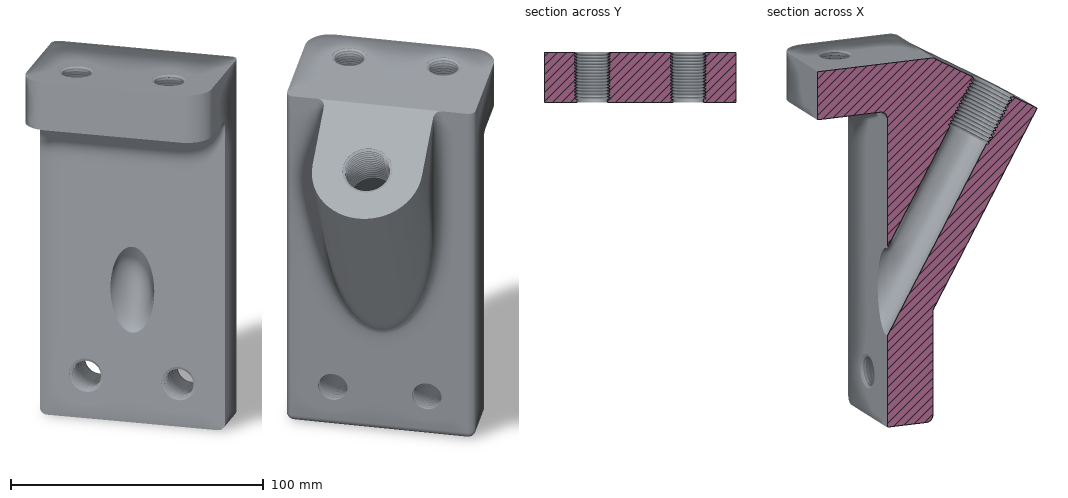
import cadquery as cq
import math

width = 76.0
height = 150.0
plate_thickness = 20.0
shelf_thickness = 20.0
shelf_reach = 50.1
shelf_corner_radius = 10.0
edge_radius = 3.0

boss_radius = 22.0
boss_tilt = 30.0
boss_overhang = 45.0

mount_major_diameter = 14.0
mount_minor_diameter = 11.8
mount_pitch = 1.2
mount_spacing = 38.0
mount_plate_height = 18.0
mount_shelf_inset = 16.0
boss_major_diameter = 20.0
boss_minor_diameter = 18.0
boss_pitch = 1.5
boss_thread_depth = 23.0
root_flat_share = 1 / 8
crest_flat_share = 1 / 4

tilt = math.radians(boss_tilt)
face_length = boss_overhang / math.cos(tilt)
boss_axis_offset = face_length - boss_radius
boss_face_center = (
    0,
    boss_axis_offset * math.cos(tilt),
    height - boss_axis_offset * math.sin(tilt),
)
boss_axis = (0, math.sin(tilt), math.cos(tilt))
boss_plane = cq.Plane(origin=boss_face_center, xDir=(1, 0, 0), normal=boss_axis)
through_length = height
selection_margin = 0.2


def make_bracket():
    """Plate and shelf with rounded corners and a fillet in the inner corner."""
    plate = cq.Workplane("XY").box(width, plate_thickness, height, centered=(True, False, False))
    plate = plate.translate((0, -plate_thickness, 0))
    shelf = cq.Workplane("XY").box(width, shelf_reach, shelf_thickness, centered=(True, False, False))
    shelf = shelf.translate((0, -shelf_reach, height - shelf_thickness))
    shelf = shelf.edges("|Z and <Y").fillet(shelf_corner_radius)
    bracket = plate.union(shelf)
    inner_corner = cq.selectors.NearestToPointSelector((0, -plate_thickness, height - shelf_thickness))
    bracket = bracket.edges("|X").edges(inner_corner).fillet(edge_radius)
    return bracket.edges("|Y and <Z").fillet(edge_radius)


def round_back_edges(bracket):
    """Round the side and bottom edges of the back face; the top edge stays sharp."""
    return bracket.faces(">Y").edges("not(|X and >Z)").fillet(edge_radius)


def add_boss(bracket):
    """Round-ended boss square to the sloping face, blended into the back face."""
    boss = cq.Workplane(boss_plane).circle(boss_radius).extrude(-through_length)
    web = (
        cq.Workplane(boss_plane)
        .center(0, -boss_axis_offset / 2)
        .rect(2 * boss_radius, boss_axis_offset)
        .extrude(-through_length)
    )
    behind_plate = cq.Workplane("XY").box(width, height, height, centered=(True, False, False))
    behind_plate = behind_plate.translate((0, -plate_thickness / 2, 0))
    boss = boss.union(web).intersect(behind_plate)
    joined = bracket.union(boss)
    half_box = boss_radius + selection_margin
    blend = cq.selectors.BoxSelector(
        (-half_box, -selection_margin, edge_radius),
        (half_box, selection_margin, height - selection_margin),
    )
    return joined.edges(blend).fillet(edge_radius)


def thread_cutter(plane, major_diameter, minor_diameter, pitch, depth):
    """Bore with a flat-bottomed V groove at every pitch, running down from the plane origin."""
    major = major_diameter / 2
    minor = minor_diameter / 2
    root_flat = root_flat_share * pitch
    crest_flat = crest_flat_share * pitch
    flank = (pitch - root_flat - crest_flat) / 2
    profile = [(0, 0)]
    for turn in range(math.floor(depth / pitch)):
        groove_top = -turn * pitch
        crest_top = groove_top - root_flat - flank
        profile += [
            (major, groove_top),
            (major, groove_top - root_flat),
            (minor, crest_top),
            (minor, crest_top - crest_flat),
        ]
    profile += [(minor, -depth), (0, -depth)]
    return cq.Workplane(plane).polyline(profile).close().revolve(360, (0, 0, 0), (0, 1, 0))


def axial_plane(origin, axis):
    """Plane holding the hole axis as its local Y direction."""
    normal = cq.Vector(1, 0, 0).cross(cq.Vector(*axis))
    return cq.Plane(origin=origin, xDir=(1, 0, 0), normal=normal.toTuple())


def cut_mount_holes(body):
    """Threaded pairs through the plate and through the shelf."""
    for x in (-mount_spacing / 2, mount_spacing / 2):
        plate_mouth = ((x, -plate_thickness, mount_plate_height), (0, -1, 0), plate_thickness)
        shelf_mouth = ((x, mount_shelf_inset - shelf_reach, height), (0, 0, 1), shelf_thickness)
        for origin, axis, depth in (plate_mouth, shelf_mouth):
            plane = axial_plane(origin, axis)
            cutter = thread_cutter(plane, mount_major_diameter, mount_minor_diameter, mount_pitch, depth)
            body = body.cut(cutter)
    return body


def cut_boss_hole(body):
    """Inclined bore that is threaded at the boss end and leaves through the front of the plate."""
    bore = cq.Workplane(boss_plane).circle(boss_minor_diameter / 2).extrude(-through_length)
    plane = axial_plane(boss_face_center, boss_axis)
    thread = thread_cutter(plane, boss_major_diameter, boss_minor_diameter, boss_pitch, boss_thread_depth)
    return body.cut(bore).cut(thread)


result = cut_boss_hole(cut_mount_holes(add_boss(round_back_edges(make_bracket()))))